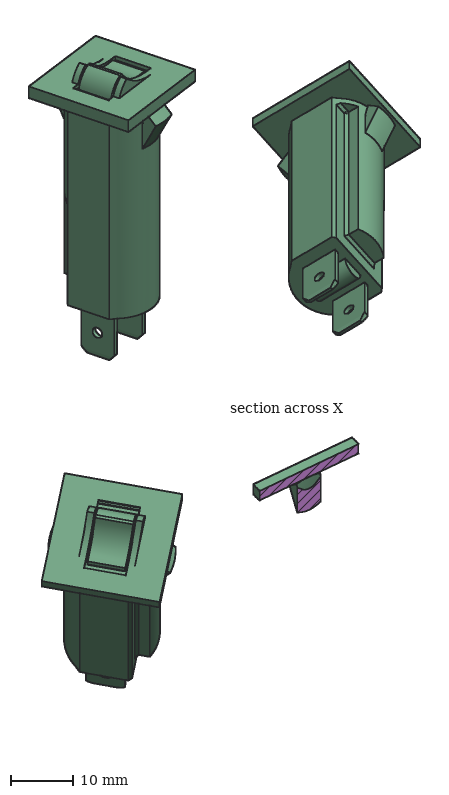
import cadquery as cq

plate_side = 19.3
plate_half_side = plate_side / 2
plate_top = 49.9
plate_thickness = 2.2
plate_bottom = plate_top - plate_thickness

body_bottom = 9.4
body_half_depth = 6.8
body_half_width = 7.75
corner_half_width = 4.85
corner_chamfer = 0.85
corner_half_depth = body_half_depth - corner_chamfer

recess_x = -4.5
pad_half_width = 3.5
pad_bottom = 12.85
front_recess_top = 28.45
back_recess_top = 46.4
pad_foot = 0.5

clip_overhang = 0.65
clip_half_width = 2.3
clip_tip_radius = plate_half_side + clip_overhang
clip_tip_z = 45.25
clip_top_radius = 8.3
clip_top_z = 47.25
clip_bottom_z = 39.8
clip_bottom_radius = 7.55
clip_root_radius = 7.25
clip_root_z = 42.7
clip_anchor_radius = 6.85

slot_width = 6.85
slot_half_length = 6.1
slot_depth = 0.75
slot_floor = plate_top - slot_depth
ledge_length = 0.35
ledge_depth = 0.35
rocker_width = 6.2
rocker_top = 52.5
rocker_crest_front_y = -2.3
rocker_crest_back_y = -1.8
rocker_front_shoulder = (-4.2, 50.95)
rocker_thumb_rest = (0.65, 50.45)
rocker_lip_start_y = 4.0
rocker_lip_end_y = 4.85
rocker_lip_z = 49.85
rocker_back_z = 49.35
rocker_front_y = -5.0
rocker_back_y = 5.15
wing_half_width = 4.55
wing_crest_y = -2.55
wing_front_y = -4.7
wing_back_y = 4.2
wing_front_shoulder = (-4.1, 51.05)
wing_hollow = (0.2, 50.8)

terminal_x = 0.2
terminal_width = 6.4
terminal_thickness = 0.9
terminal_y = 4.05
tip_corner_width = 1.05
tip_corner_height = 1.2
tip_bevel_height = 0.85
tip_bevel_depth = 0.2
terminal_hole_x = 0.15
terminal_hole_z = 4.5
terminal_hole_diameter = 1.85

lug_radius = 2.1
lug_start_x = -3.25
lug_end_x = 4.5


def box_between(x_range, y_range, z_range):
    """Box spanning the given (low, high) range on each axis."""
    lows, highs = zip(x_range, y_range, z_range)
    sizes = [high - low for low, high in zip(lows, highs)]
    return cq.Workplane("XY").box(*sizes, centered=False).translate(lows)


def extrude_along_x(profile, x_start, x_end):
    """Build a YZ profile as a prism from x_start to x_end."""
    return profile(cq.Workplane("YZ", origin=(x_start, 0, 0))).extrude(x_end - x_start)


def make_full_body():
    flat_half_width = corner_half_width - corner_chamfer
    return (
        cq.Workplane("XY", origin=(0, 0, body_bottom))
        .moveTo(-flat_half_width, -body_half_depth)
        .lineTo(flat_half_width, -body_half_depth)
        .lineTo(corner_half_width, -corner_half_depth)
        .threePointArc((body_half_width, 0), (corner_half_width, corner_half_depth))
        .lineTo(flat_half_width, body_half_depth)
        .lineTo(-flat_half_width, body_half_depth)
        .lineTo(-corner_half_width, corner_half_depth)
        .threePointArc((-body_half_width, 0), (-corner_half_width, -corner_half_depth))
        .close()
        .extrude(plate_bottom - body_bottom)
    )


def pad_prism(margin, height, taper=0):
    """Pad outline grown by margin, raised from the recess floor toward -X."""
    half_width = pad_half_width + margin
    bottom = pad_bottom - margin
    reach = plate_half_side
    outline = [
        (-half_width, bottom),
        (half_width, bottom),
        (half_width, front_recess_top - margin),
        (reach, front_recess_top - margin),
        (reach, plate_top),
        (-reach, plate_top),
        (-reach, back_recess_top - margin),
        (-half_width, back_recess_top - margin),
    ]
    floor = cq.Plane(origin=(recess_x, 0, 0), xDir=(0, -1, 0), normal=(-1, 0, 0))
    return cq.Workplane(floor).polyline(outline).close().extrude(height, taper=taper)


def make_body():
    full_body = make_full_body()
    reach = plate_half_side
    core = full_body.intersect(
        box_between((recess_x, reach), (-reach, reach), (body_bottom, plate_bottom))
    )
    pad = full_body.intersect(pad_prism(0, reach))
    sloped_foot = full_body.intersect(pad_prism(pad_foot, pad_foot, taper=45))
    return core.union(pad).union(sloped_foot)


def make_clips():
    ring = (
        cq.Workplane("XZ")
        .polyline([
            (clip_anchor_radius, clip_bottom_z),
            (clip_bottom_radius, clip_bottom_z),
            (clip_tip_radius, clip_tip_z),
            (clip_top_radius, clip_top_z),
            (clip_root_radius, clip_root_z),
            (clip_anchor_radius, clip_root_z),
        ])
        .close()
        .revolve(360, (0, 0, 0), (0, 1, 0))
    )
    across = (-clip_half_width, clip_half_width)
    return ring.intersect(
        box_between((-plate_side, plate_side), across, (clip_bottom_z, clip_top_z))
    )


def make_plate():
    plate = box_between(
        (-plate_half_side, plate_half_side),
        (-plate_half_side, plate_half_side),
        (plate_bottom, plate_top),
    )
    across = (-slot_width / 2, slot_width / 2)
    ledge_y = ledge_length - slot_half_length
    deep_slot = box_between(across, (ledge_y, slot_half_length), (slot_floor, plate_top))
    ledge = box_between(across, (-slot_half_length, ledge_y), (plate_top - ledge_depth, plate_top))
    return plate.cut(deep_slot).cut(ledge)


def rocker_profile(plane):
    """Concave thumb face with a crest near the front, standing in the slot."""
    return (
        plane.moveTo(rocker_front_y, plate_bottom)
        .lineTo(rocker_front_y, slot_floor)
        .threePointArc(rocker_front_shoulder, (rocker_crest_front_y, rocker_top))
        .lineTo(rocker_crest_back_y, rocker_top)
        .threePointArc(rocker_thumb_rest, (rocker_lip_start_y, rocker_lip_z))
        .lineTo(rocker_lip_end_y, rocker_lip_z)
        .lineTo(rocker_back_y, rocker_back_z)
        .lineTo(rocker_back_y, plate_bottom)
        .close()
    )


def wing_profile(plane):
    """Fixed guard beside the rocker, following its shape above the plate."""
    return (
        plane.moveTo(wing_front_y, plate_bottom)
        .lineTo(wing_front_y, plate_top)
        .threePointArc(wing_front_shoulder, (wing_crest_y, rocker_top))
        .threePointArc(wing_hollow, (wing_back_y, plate_top))
        .lineTo(wing_back_y, plate_bottom)
        .close()
    )


def make_terminal(y_center):
    half_thickness = terminal_thickness / 2
    half_width = terminal_width / 2
    outline = [
        (terminal_x - half_width, body_bottom),
        (terminal_x - half_width, tip_corner_height),
        (terminal_x - half_width + tip_corner_width, 0),
        (terminal_x + half_width - tip_corner_width, 0),
        (terminal_x + half_width, tip_corner_height),
        (terminal_x + half_width, body_bottom),
    ]
    blade = (
        cq.Workplane("XZ", origin=(0, y_center + half_thickness, 0))
        .polyline(outline)
        .close()
        .moveTo(terminal_hole_x, terminal_hole_z)
        .circle(terminal_hole_diameter / 2)
        .extrude(terminal_thickness)
    )
    tip_half_thickness = half_thickness - tip_bevel_depth

    def bevelled_section(plane):
        return plane.polyline([
            (y_center - tip_half_thickness, 0),
            (y_center + tip_half_thickness, 0),
            (y_center + half_thickness, tip_bevel_height),
            (y_center + half_thickness, body_bottom),
            (y_center - half_thickness, body_bottom),
            (y_center - half_thickness, tip_bevel_height),
        ]).close()

    return blade.intersect(extrude_along_x(bevelled_section, -plate_side, plate_side))


def lug_profile(plane):
    return plane.center(0, body_bottom).circle(lug_radius)


result = make_body().union(make_clips()).union(make_plate())
result = result.union(extrude_along_x(rocker_profile, -rocker_width / 2, rocker_width / 2))
result = result.union(extrude_along_x(wing_profile, -wing_half_width, -slot_width / 2))
result = result.union(extrude_along_x(wing_profile, slot_width / 2, wing_half_width))
for side in (-1, 1):
    result = result.union(make_terminal(side * terminal_y))
result = result.union(extrude_along_x(lug_profile, lug_start_x, lug_end_x))